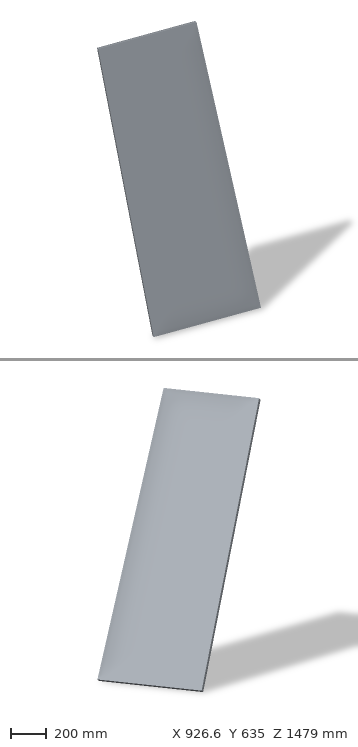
import cadquery as cq
import math

height = 1479.0
tilt = math.radians(58.3)
thickness = 25.0

top_width = 581.0
bottom_width = 635.0

end_rise = thickness * math.cos(tilt)
length = (height - end_rise) / math.sin(tilt)

underside = cq.Plane(
    origin=(0, 0, height - end_rise),
    xDir=(math.cos(tilt), 0, -math.sin(tilt)),
    normal=(math.sin(tilt), 0, math.cos(tilt)),
)

outline = [
    (0, 0),
    (length, 0),
    (length, bottom_width),
    (0, top_width),
]

result = cq.Workplane(underside).polyline(outline).close().extrude(thickness)